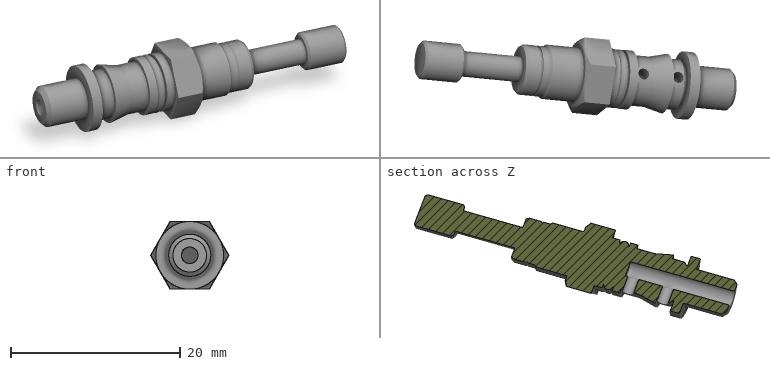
import cadquery as cq
import math

LENGTH = 38.9
TIP_CHAMFER = 0.5
FLANGE_START = 5.2
FLANGE_END = 6.4
CONE_START = 8.35
CONE_END = 10.62
COLLAR_START = 12.8
SEAL_GROOVE_START = 13.8
SEAL_GROOVE_END = 15.0
HEX_START = 16.0
HEX_END = 19.53
SLEEVE_END = 23.38
NOTCH_START = 24.45
NOTCH_END = 24.78
BODY_END = 26.55
BUTTON_START = 33.92

TIP_RADIUS = 2.5
FLANGE_RADIUS = 4.0
BODY_RADIUS = 3.0
CONE_RADIUS = 3.55
COLLAR_RADIUS = 3.5
SLEEVE_RADIUS = 3.23
NOTCH_RADIUS = 2.85
ROD_RADIUS = 1.5
BUTTON_RADIUS = 2.3

BODY_FRONT_BEVEL = 0.45
BODY_BACK_BEVEL = (0.25, 0.35)
SLEEVE_BEVEL = SLEEVE_RADIUS - BODY_RADIUS
BUTTON_BEVEL = 0.27

HEX_ACROSS_FLATS = 8.0
HEX_CORNER_RADIUS = HEX_ACROSS_FLATS / 2 / math.cos(math.radians(30))
HEX_FACE_RADIUS = 3.85
HEX_BEVEL_ANGLE = 30

RING_RADIUS = 0.55
RING_CENTER_RADIUS = COLLAR_RADIUS - RING_RADIUS

BORE_RADIUS = 0.97
PORT_RADIUS = 0.65
PORT_STATIONS = (7.62, 11.95)
BORE_DEPTH = PORT_STATIONS[-1] + BORE_RADIUS


def revolve_profile(points):
    """Revolve (radius, y) points, closed along the axis, about Y."""
    outline = [(0, points[0][1])] + points + [(0, points[-1][1])]
    return cq.Workplane("XY").polyline(outline).close().revolve(360, (0, 0), (0, 1))


def cylinder_along_y(radius, start, end):
    return revolve_profile([(radius, start), (radius, end)])


def turned_body():
    body_back_radial, body_back_axial = BODY_BACK_BEVEL
    return revolve_profile([
        (TIP_RADIUS - TIP_CHAMFER, 0),
        (TIP_RADIUS, TIP_CHAMFER),
        (TIP_RADIUS, FLANGE_START),
        (FLANGE_RADIUS, FLANGE_START),
        (FLANGE_RADIUS, FLANGE_END),
        (BODY_RADIUS - BODY_FRONT_BEVEL, FLANGE_END),
        (BODY_RADIUS, FLANGE_END + BODY_FRONT_BEVEL),
        (BODY_RADIUS, CONE_START),
        (CONE_RADIUS, CONE_START),
        (BODY_RADIUS, CONE_END),
        (BODY_RADIUS, COLLAR_START),
        (COLLAR_RADIUS, COLLAR_START),
        (COLLAR_RADIUS, SEAL_GROOVE_START),
        (BODY_RADIUS, SEAL_GROOVE_START),
        (BODY_RADIUS, SEAL_GROOVE_END),
        (COLLAR_RADIUS, SEAL_GROOVE_END),
        (COLLAR_RADIUS, HEX_START),
        (SLEEVE_RADIUS, HEX_START),
        (SLEEVE_RADIUS, SLEEVE_END),
        (BODY_RADIUS, SLEEVE_END + SLEEVE_BEVEL),
        (BODY_RADIUS, NOTCH_START),
        (NOTCH_RADIUS, NOTCH_START),
        (BODY_RADIUS, NOTCH_END),
        (BODY_RADIUS, BODY_END - body_back_axial),
        (BODY_RADIUS - body_back_radial, BODY_END),
        (ROD_RADIUS, BODY_END),
        (ROD_RADIUS, BUTTON_START),
        (BUTTON_RADIUS - BUTTON_BEVEL, BUTTON_START),
        (BUTTON_RADIUS, BUTTON_START + BUTTON_BEVEL),
        (BUTTON_RADIUS, LENGTH - BUTTON_BEVEL),
        (BUTTON_RADIUS - BUTTON_BEVEL, LENGTH),
    ])


def hexagon():
    prism = (
        cq.Workplane("XZ", origin=(0, HEX_START, 0))
        .polygon(6, 2 * HEX_CORNER_RADIUS)
        .extrude(HEX_START - HEX_END)
    )
    outer_radius = HEX_CORNER_RADIUS + 0.4
    bevel_drop = (outer_radius - HEX_FACE_RADIUS) * math.tan(math.radians(HEX_BEVEL_ANGLE))
    envelope = revolve_profile([
        (outer_radius, HEX_START),
        (outer_radius, HEX_END - bevel_drop),
        (HEX_FACE_RADIUS, HEX_END),
    ])
    return prism.intersect(envelope)


def sealing_ring():
    groove_middle = (SEAL_GROOVE_START + SEAL_GROOVE_END) / 2
    return (
        cq.Workplane("XY")
        .center(-RING_CENTER_RADIUS, groove_middle)
        .circle(RING_RADIUS)
        .revolve(360, (RING_CENTER_RADIUS, 0), (RING_CENTER_RADIUS, 1))
    )


def radial_port(station):
    return cq.Workplane("YZ").center(station, 0).circle(PORT_RADIUS).extrude(-CONE_RADIUS)


result = turned_body().union(hexagon()).union(sealing_ring())
result = result.cut(cylinder_along_y(BORE_RADIUS, 0, BORE_DEPTH))
for port_station in PORT_STATIONS:
    result = result.cut(radial_port(port_station))
result = result.translate((0, -LENGTH / 2, 0))